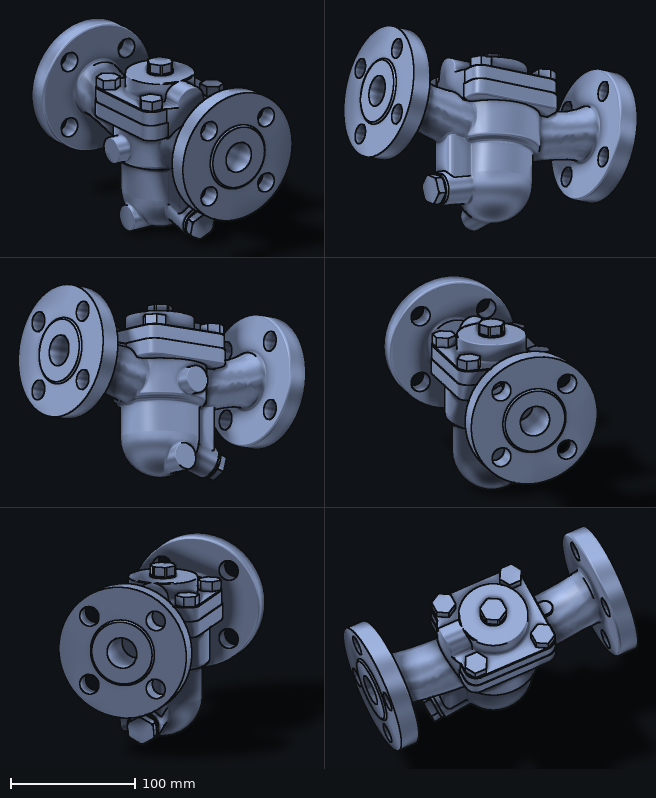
import cadquery as cq
import math

HEXAGON_SIDES = 6
HEXAGON_TURN = 180 / HEXAGON_SIDES

FACE_TO_FACE = 215.0
FLANGE_DIA = 108.0
FLANGE_THICKNESS = 16.5
FLANGE_ROUND = 2.0
RAISED_FACE_HEIGHT = 1.5
RAISED_FACE_BASE_DIA = 54.0
RAISED_FACE_DIA = 51.0
BOLT_CIRCLE_DIA = 79.4
FLANGE_HOLE_DIA = 16.0
FLANGE_HOLE_COUNT = 4
FIRST_HOLE_ANGLE = 45.0
BORE_DIA = 25.0
BORE_DEPTH = 40.0

PIPE_DIA = 45.0
PIPE_FLANGE_FILLET = 3.0
PIPE_WAIST_X = 65.0
PIPE_WAIST_DROP = 6.0
PIPE_WAIST_HEIGHT = 39.0
PIPE_BODY_X = 42.0
PIPE_BODY_DROP = 10.5
PIPE_BODY_HEIGHT = 43.0
PIPE_END_X = 22.0
PIPE_END_DROP = 11.5

CASTING_FILLET = 3.0
CONTACT_TOLERANCE = 0.001

BODY_X = -2.5
NECK_RADIUS = 37.8
BOWL_RADIUS = 32.0
BOWL_CENTRE_Z = -59.0
SHOULDER_TOP_Z = -27.7
SHOULDER_BOTTOM_Z = -35.0

JOINT_Z = 13.1
COVER_TOP_Z = 25.1
COVER_SIDE = 80.0
COVER_CORNER = 10.0
COVER_EDGE_CHAMFER = 0.6
BODY_FLANGE_SIDE = 80.8
BODY_FLANGE_BOTTOM_Z = -0.5
BODY_FLANGE_ROUND = 2.0

CAP_DIA = 56.0
CAP_TOP_Z = 40.5
CAP_FOOT_FILLET = 2.0
CAP_RIM_ROUND = 0.7
PLUG_COLLAR_DIA = 21.0
PLUG_COLLAR_HEIGHT = 1.2
PLUG_FLATS = 19.0
PLUG_TOP_Z = 49.5

BULGE_RADIUS = 45.4
BULGE_WIDTH = 43.0
BULGE_STRAIGHT_DEPTH = 2.3
OUTLET_BOSS_RADIUS = 12.4
OUTLET_BOSS_FILLET = 2.6
OUTLET_BOSS_ROUND = 1.0

BOLT_FLATS = 17.0
BOLT_HEAD_HEIGHT = 8.0
BOLT_OFFSET = 30.0

SIDE_BOSS_DIA = 22.0
SIDE_BOSS_EDGE = 0.7
UPPER_BOSS_Z = -17.5
UPPER_BOSS_END_Y = -48.2
LOWER_BOSS_Z = -78.7
LOWER_BOSS_END_Y = -33.2
LOWER_BOSS_FILLET = 2.0
UPPER_BOSS_FILLET = 0.9

STRAINER_TILT = 15.0
STRAINER_DIA = 28.0
STRAINER_END = 52.0
STRAINER_ROUND = 0.8
STRAINER_COLLAR_DIA = 25.0
STRAINER_COLLAR_LENGTH = 2.7
STRAINER_HEX_FLATS = 22.0
STRAINER_HEX_LENGTH = 7.0
STRAINER_HEX_CHAMFER = 0.8

PASSAGE_END_X = 46.6
PASSAGE_WIDTH = 26.0
PASSAGE_ROUND = 5.0
PASSAGE_TOP_Z = -20.0
PASSAGE_BOTTOM_Z = -66.0

PAD_WIDTH = 13.0
PAD_END_X = -55.3
PAD_TOP_Z = 13.0
PAD_DEPTH = 8.0
PAD_EDGE_CHAMFER = 0.5

HALF_LENGTH = FACE_TO_FACE / 2
FLANGE_FRONT_X = HALF_LENGTH - RAISED_FACE_HEIGHT
FLANGE_BACK_X = FLANGE_FRONT_X - FLANGE_THICKNESS


def upright_cylinder(radius, bottom_z, top_z):
    """Cylinder on the body axis between two heights."""
    base = cq.Workplane("XY", origin=(BODY_X, 0, bottom_z))
    return base.circle(radius).extrude(top_z - bottom_z)


def rounded_plate(side, bottom_z, top_z):
    """Square plate with rounded corners, centred on the body axis."""
    plate = cq.Workplane("XY").workplane(offset=bottom_z).center(BODY_X, 0).rect(side, side)
    return plate.extrude(top_z - bottom_z).edges("|Z").fillet(COVER_CORNER)


def hexagon(workplane, flats, length):
    """Hexagonal prism with two corners on the local x axis."""
    return workplane.polygon(HEXAGON_SIDES, flats / math.cos(math.radians(HEXAGON_TURN))).extrude(length)


def make_flange():
    """Flange at the +X end with its raised face and a flared root for the pipe."""
    root_radius = PIPE_DIA / 2
    root_end_x = FLANGE_BACK_X - PIPE_FLANGE_FILLET
    rim_radius = FLANGE_DIA / 2
    profile = (
        cq.Workplane("XY")
        .moveTo(root_end_x, 0)
        .lineTo(root_end_x, root_radius)
        .radiusArc((FLANGE_BACK_X, root_radius + PIPE_FLANGE_FILLET), -PIPE_FLANGE_FILLET)
        .lineTo(FLANGE_BACK_X, rim_radius - FLANGE_ROUND)
        .radiusArc((FLANGE_BACK_X + FLANGE_ROUND, rim_radius), FLANGE_ROUND)
        .lineTo(FLANGE_FRONT_X, rim_radius)
        .lineTo(FLANGE_FRONT_X, RAISED_FACE_BASE_DIA / 2)
        .lineTo(HALF_LENGTH, RAISED_FACE_DIA / 2)
        .lineTo(HALF_LENGTH, 0)
        .close()
    )
    flange = profile.revolve(360, (0, 0, 0), (1, 0, 0))
    holes = (
        cq.Workplane("YZ")
        .workplane(offset=FLANGE_BACK_X)
        .polarArray(BOLT_CIRCLE_DIA / 2, FIRST_HOLE_ANGLE, 360, FLANGE_HOLE_COUNT)
        .circle(FLANGE_HOLE_DIA / 2)
        .extrude(FLANGE_THICKNESS)
    )
    return flange.cut(holes)


def make_pipe():
    """Pipe bend at the +X end: a smooth loft that narrows to a waist and drops to the body."""
    stations = [
        (FLANGE_BACK_X - PIPE_FLANGE_FILLET, 0.0, PIPE_DIA),
        (PIPE_WAIST_X, PIPE_WAIST_DROP, PIPE_WAIST_HEIGHT),
        (PIPE_BODY_X, PIPE_BODY_DROP, PIPE_BODY_HEIGHT),
        (PIPE_END_X, PIPE_END_DROP, PIPE_DIA),
    ]
    sections = []
    for x, drop, height in stations:
        section = cq.Workplane("YZ", origin=(x, 0, -drop)).ellipse(PIPE_DIA / 2, height / 2)
        sections.append(section.wire().val())
    return cq.Workplane(cq.Solid.makeLoft(sections))


def make_bore():
    """Blind bore in the +X flange."""
    bottom = cq.Workplane("YZ", origin=(HALF_LENGTH - BORE_DEPTH, 0, 0))
    return bottom.circle(BORE_DIA / 2).extrude(BORE_DEPTH)


def make_body():
    """Neck, curved shoulder and round-bottomed bowl."""
    shoulder_middle = ((NECK_RADIUS + BOWL_RADIUS) / 2, (SHOULDER_TOP_Z + SHOULDER_BOTTOM_Z) / 2)
    profile = (
        cq.Workplane("XZ")
        .moveTo(0, JOINT_Z)
        .lineTo(NECK_RADIUS, JOINT_Z)
        .lineTo(NECK_RADIUS, SHOULDER_TOP_Z)
        .tangentArcPoint(shoulder_middle, relative=False)
        .tangentArcPoint((BOWL_RADIUS, SHOULDER_BOTTOM_Z), relative=False)
        .lineTo(BOWL_RADIUS, BOWL_CENTRE_Z)
        .radiusArc((0, BOWL_CENTRE_Z - BOWL_RADIUS), BOWL_RADIUS)
        .close()
    )
    return profile.revolve(360, (0, 0, 0), (0, 1, 0)).translate((BODY_X, 0, 0))


def make_body_flange():
    """Square flange at the top of the body."""
    plate = rounded_plate(BODY_FLANGE_SIDE, BODY_FLANGE_BOTTOM_Z, JOINT_Z)
    return plate.faces("<Z").edges().fillet(BODY_FLANGE_ROUND)


def make_cover():
    """Square cover with the round cap and its filleted foot."""
    plate = rounded_plate(COVER_SIDE, JOINT_Z, COVER_TOP_Z).faces(">Z").edges().chamfer(COVER_EDGE_CHAMFER)
    cap_radius = CAP_DIA / 2
    foot_radius = cap_radius + CAP_FOOT_FILLET
    profile = (
        cq.Workplane("XZ")
        .moveTo(0, COVER_TOP_Z)
        .lineTo(foot_radius, COVER_TOP_Z)
        .radiusArc((cap_radius, COVER_TOP_Z + CAP_FOOT_FILLET), CAP_FOOT_FILLET)
        .lineTo(cap_radius, CAP_TOP_Z - CAP_RIM_ROUND)
        .radiusArc((cap_radius - CAP_RIM_ROUND, CAP_TOP_Z), -CAP_RIM_ROUND)
        .lineTo(0, CAP_TOP_Z)
        .close()
    )
    cap = profile.revolve(360, (0, 0, 0), (0, 1, 0)).translate((BODY_X, 0, 0))
    return plate.union(cap)


def make_outlet_bulge():
    """Bulge on the +X side of the cover and body flange, with a sloping underside."""
    bulge = upright_cylinder(BULGE_RADIUS, BODY_FLANGE_BOTTOM_Z, COVER_TOP_Z)
    profile = (
        cq.Workplane("XZ", origin=(0, BULGE_WIDTH / 2, 0))
        .moveTo(BODY_X, BODY_FLANGE_BOTTOM_Z)
        .lineTo(BODY_X + BODY_FLANGE_SIDE / 2, BODY_FLANGE_BOTTOM_Z)
        .lineTo(BODY_X + BULGE_RADIUS, JOINT_Z - BULGE_STRAIGHT_DEPTH)
        .lineTo(BODY_X + BULGE_RADIUS, COVER_TOP_Z)
        .lineTo(BODY_X, COVER_TOP_Z)
        .close()
    )
    return bulge.intersect(profile.extrude(BULGE_WIDTH))


def make_outlet_boss():
    """Round-topped boss on the bulge, with filleted feet and a rounded end."""
    foot_y = OUTLET_BOSS_RADIUS + OUTLET_BOSS_FILLET
    fillet_top_z = COVER_TOP_Z + OUTLET_BOSS_FILLET
    centre_z = CAP_TOP_Z - OUTLET_BOSS_RADIUS
    profile = (
        cq.Workplane("YZ")
        .moveTo(-foot_y, COVER_TOP_Z)
        .radiusArc((-OUTLET_BOSS_RADIUS, fillet_top_z), -OUTLET_BOSS_FILLET)
        .lineTo(-OUTLET_BOSS_RADIUS, centre_z)
        .threePointArc((0, CAP_TOP_Z), (OUTLET_BOSS_RADIUS, centre_z))
        .lineTo(OUTLET_BOSS_RADIUS, fillet_top_z)
        .radiusArc((foot_y, COVER_TOP_Z), -OUTLET_BOSS_FILLET)
        .close()
    )
    boss = profile.extrude(BULGE_RADIUS)
    boss = boss.intersect(upright_cylinder(BULGE_RADIUS, COVER_TOP_Z, CAP_TOP_Z))
    return boss.faces(">X").edges("not <Z").fillet(OUTLET_BOSS_ROUND)


def make_cap_plug():
    """Collar and hexagon on top of the cap; the collar circle trims the hexagon corners."""
    collar_top_z = CAP_TOP_Z + PLUG_COLLAR_HEIGHT
    envelope = upright_cylinder(PLUG_COLLAR_DIA / 2, CAP_TOP_Z, PLUG_TOP_Z)
    head = hexagon(cq.Workplane("XY"), PLUG_FLATS, PLUG_TOP_Z - collar_top_z)
    head = head.rotate((0, 0, 0), (0, 0, 1), HEXAGON_TURN).translate((BODY_X, 0, collar_top_z))
    return head.intersect(envelope).union(upright_cylinder(PLUG_COLLAR_DIA / 2, CAP_TOP_Z, collar_top_z))


def make_cover_bolts():
    """Four hexagon bolt heads; diagonal neighbours are turned alike."""
    bolts = cq.Workplane("XY")
    for side_x in (-1, 1):
        for side_y in (-1, 1):
            turn = 0 if side_x == side_y else HEXAGON_TURN
            head = hexagon(cq.Workplane("XY"), BOLT_FLATS, BOLT_HEAD_HEIGHT)
            head = head.rotate((0, 0, 0), (0, 0, 1), turn)
            place = (BODY_X + side_x * BOLT_OFFSET, side_y * BOLT_OFFSET, COVER_TOP_Z)
            bolts = bolts.union(head.translate(place))
    return bolts


def make_side_boss(z, end_y):
    """Round boss that points to -Y from the body axis."""
    boss = cq.Workplane("XZ", origin=(BODY_X, 0, z)).circle(SIDE_BOSS_DIA / 2).extrude(-end_y)
    return boss.faces("<Y").edges().fillet(SIDE_BOSS_EDGE)


def strainer_plane(distance):
    """Plane across the strainer axis at a distance from the bowl centre."""
    tilt = math.radians(STRAINER_TILT)
    axis = cq.Vector(math.cos(tilt), 0, -math.sin(tilt))
    origin = cq.Vector(BODY_X, 0, BOWL_CENTRE_Z) + axis * distance
    return cq.Workplane(cq.Plane(origin=origin, xDir=(math.sin(tilt), 0, math.cos(tilt)), normal=axis))


def make_strainer_boss():
    """Inclined boss that starts at the bowl centre."""
    boss = strainer_plane(0).circle(STRAINER_DIA / 2).extrude(STRAINER_END)
    return boss.edges(">X").fillet(STRAINER_ROUND)


def make_strainer_plug():
    """Collar and hexagon plug at the end of the inclined boss."""
    collar = strainer_plane(STRAINER_END).circle(STRAINER_COLLAR_DIA / 2).extrude(STRAINER_COLLAR_LENGTH)
    hex_start = STRAINER_END + STRAINER_COLLAR_LENGTH
    head = hexagon(strainer_plane(hex_start), STRAINER_HEX_FLATS, STRAINER_HEX_LENGTH)
    corner_radius = STRAINER_HEX_FLATS / math.cos(math.radians(HEXAGON_TURN)) / 2
    envelope = strainer_plane(hex_start).circle(corner_radius).extrude(STRAINER_HEX_LENGTH)
    envelope = envelope.edges().chamfer(STRAINER_HEX_CHAMFER)
    return collar.union(head.intersect(envelope))


def make_passage():
    """Upright rounded passage beside the bowl."""
    length = PASSAGE_END_X - BODY_X
    height = PASSAGE_TOP_Z - PASSAGE_BOTTOM_Z
    passage = cq.Workplane("XY").box(length, PASSAGE_WIDTH, height, centered=(False, True, False))
    passage = passage.edges("|Z and >X").fillet(PASSAGE_ROUND)
    return passage.translate((BODY_X, 0, PASSAGE_BOTTOM_Z))


def make_pipe_pad():
    """Round-ended pad on top of the inlet pipe, running under the body flange."""
    end_radius = PAD_WIDTH / 2
    centre_x = PAD_END_X + end_radius
    pad = (
        cq.Workplane("XY")
        .workplane(offset=PAD_TOP_Z - PAD_DEPTH)
        .moveTo(BODY_X, -end_radius)
        .lineTo(centre_x, -end_radius)
        .threePointArc((PAD_END_X, 0), (centre_x, end_radius))
        .lineTo(BODY_X, end_radius)
        .close()
        .extrude(PAD_DEPTH)
    )
    return pad.faces(">Z").edges().chamfer(PAD_EDGE_CHAMFER)


def both_ends(shape):
    """The +X shape together with its mirror image at the -X end."""
    return shape.union(shape.mirror("YZ"))


def lies_on(probe, part):
    """Whether a vertex lies on the surface of a part."""
    return any(probe.distance(face) < CONTACT_TOLERANCE for face in part.faces().vals())


def joint_edges(joined, first, second):
    """Edges of the joined shape that lie on the surfaces of both parts."""
    edges = []
    for edge in joined.edges().vals():
        probe = cq.Vertex.makeVertex(*edge.positionAt(0.5).toTuple())
        if lies_on(probe, second) and lies_on(probe, first):
            edges.append(edge)
    return edges


def join_with_fillet(first, second, radius):
    """Union of two parts with a fillet along the line where they meet."""
    joined = first.union(second)
    return joined.newObject(joint_edges(joined, first, second)).fillet(radius)


def make_strainer_branch():
    """Inclined strainer boss together with the passage above it."""
    return make_strainer_boss().union(make_passage())


result = make_body()
result = join_with_fillet(result, make_pipe(), CASTING_FILLET)
result = join_with_fillet(result, make_pipe().mirror("YZ"), CASTING_FILLET)
result = join_with_fillet(result, make_strainer_branch(), CASTING_FILLET)
result = join_with_fillet(result, make_side_boss(UPPER_BOSS_Z, UPPER_BOSS_END_Y), UPPER_BOSS_FILLET)
result = join_with_fillet(result, make_side_boss(LOWER_BOSS_Z, LOWER_BOSS_END_Y), LOWER_BOSS_FILLET)
features = [
    both_ends(make_flange()),
    make_body_flange(),
    make_cover(),
    make_outlet_bulge(),
    make_outlet_boss(),
    make_cap_plug(),
    make_cover_bolts(),
    make_strainer_plug(),
    make_pipe_pad(),
]
for feature in features:
    result = result.union(feature)
result = result.cut(both_ends(make_bore()))